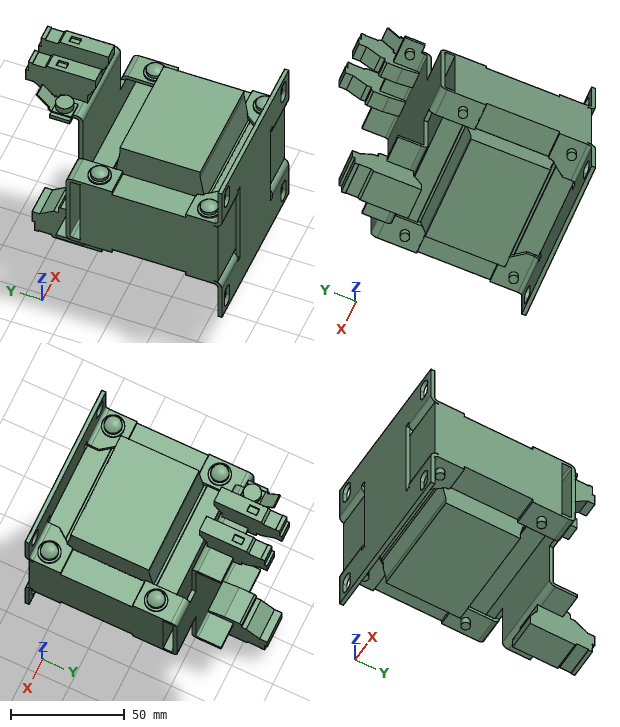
import cadquery as cq
import math


SHEET = 2.0
WIDTH = 78.0
PLATE_HEIGHT = 82.2
SLOT_WIDTH = 6.0
SLOT_HEIGHT = 11.3
SLOT_SPACING = 65.8
WINDOW_EDGE_X = 17.9
WINDOW_HALF_HEIGHT = 23.5
FRONT_BEND_RADIUS = 3.8

CORE_HEIGHT = 36.5
CORE_DEPTH = 65.2
RECESS_HALF_WIDTH = 26.0
RECESS_FRONT_Y = 12.0
RECESS_BACK_Y = 57.4
RECESS_DEPTH = 1.2

COIL_WIDTH = 51.2
COIL_FOOT_DEPTH = 42.5
COIL_END_DEPTH = 38.0
COIL_TOP_Z = 34.7
COIL_BOTTOM_Z = -30.5
COIL_RIM = 3.2

TAB_INNER_X = 20.1
TAB_LENGTH = 17.2
TAB_BEVEL_START_Y = 7.7
TAB_BEVEL_END_Y = 15.5
TAB_CORNER = 0.6

FRAME_BACK_Y = 73.9
ARM_LENGTH = 21.8
REAR_BEND_RADIUS = 3.0
FLANGE_TOP_Z = 45.0
FLANGE_END_Y = 86.2
FLANGE_HALF_WIDTH = 20.1
UPPER_FLANGE_LEFT_X = -23.9
CLAMP_TAB_LEFT_X = -27.8
CLAMP_TAB_FRONT_Y = 76.6

SCREW_X = 32.4
SCREW_YS = (8.6, 60.5)
SCREW_RADIUS = 2.1
SCREW_END_Z = -23.8
WASHER_RADIUS = 5.1
WASHER_THICKNESS = 0.9
HEAD_RADIUS = 4.0
HEAD_RIM = 1.6
HEAD_DOME = 1.6

TERMINAL_WIDTH = 7.4
UPPER_TERMINAL_XS = (-11.2, 3.9)
LOWER_TERMINAL_WIDTH = 15.1
TERMINAL_TOP_Z = 60.9
POCKET_WIDTH = 3.2
POCKET_LENGTH = 4.6
POCKET_Y = 86.8
POCKET_DEPTH = 1.2

CLAMP_X = -21.9
CLAMP_Y = 81.4
CLAMP_WIDTH = 8.0
CLAMP_THICKNESS = 0.7
CLAMP_TONGUE_WIDTH = 6.5
CLAMP_TONGUE_REACH = 7.3
CLAMP_SHOULDER_REACH = 1.5
CLAMP_HEAD_HEIGHT = 3.2
CLAMP_HEAD_Z = 46.3
CLAMP_SCREW_END_Z = 40.2

CORE_TOP_Z = CORE_HEIGHT / 2
TAB_TOP_Z = CORE_TOP_Z + SHEET
FRAME_FRONT_Y = FRAME_BACK_Y - SHEET


def block(x_min, x_max, y_min, y_max, z_min, z_max):
    """Box given by its limits."""
    size = (x_max - x_min, y_max - y_min, z_max - z_min)
    return cq.Workplane("XY").box(*size, centered=False).translate((x_min, y_min, z_min))


def side_profile(points, x_min, x_max):
    """Outline of (y, z) points extruded along X."""
    return cq.Workplane("YZ").polyline(points).close().extrude(x_max - x_min).translate((x_min, 0, 0))


def rod(x, y, z_min, z_max, radius):
    """Upright cylinder."""
    return cq.Workplane("XY").circle(radius).extrude(z_max - z_min).translate((x, y, z_min))


def left_and_right(body):
    return body.union(body.mirror("YZ"))


def top_and_bottom(body):
    return body.union(body.mirror("XY"))


def bent_strip(x_min, x_max, y, z, y_leg, z_leg, outer_radius):
    """Sheet with one rounded bend; (y, z) is the sharp outer corner, the legs are signed."""
    y_inner = y + math.copysign(SHEET, y_leg)
    z_inner = z + math.copysign(SHEET, z_leg)
    outline = [
        (y, z),
        (y + y_leg, z),
        (y + y_leg, z_inner),
        (y_inner, z_inner),
        (y_inner, z + z_leg),
        (y, z + z_leg),
    ]
    strip = side_profile(outline, x_min, x_max)
    for corner_y, corner_z, radius in ((y, z, outer_radius), (y_inner, z_inner, outer_radius - SHEET)):
        corner = cq.selectors.NearestToPointSelector(((x_min + x_max) / 2, corner_y, corner_z))
        strip = strip.edges("|X").edges(corner).fillet(radius)
    return strip


def front_plate():
    half_width = WIDTH / 2
    plate = block(-half_width, half_width, 0, SHEET, -PLATE_HEIGHT / 2, PLATE_HEIGHT / 2)
    slots = (
        cq.Workplane("XZ")
        .rect(SLOT_SPACING, SLOT_SPACING, forConstruction=True)
        .vertices()
        .slot2D(SLOT_HEIGHT, SLOT_WIDTH, 90)
        .extrude(-SHEET)
    )
    window = block(WINDOW_EDGE_X, half_width, 0, SHEET, -WINDOW_HALF_HEIGHT, WINDOW_HALF_HEIGHT)
    plate = plate.cut(slots).cut(left_and_right(window))

    bend_height = WINDOW_HALF_HEIGHT - CORE_TOP_Z
    tab = bent_strip(TAB_INNER_X, half_width, 0, CORE_TOP_Z, TAB_LENGTH, bend_height, FRONT_BEND_RADIUS)
    bevel = (
        cq.Workplane("XY")
        .polyline(
            [
                (TAB_INNER_X, TAB_BEVEL_START_Y),
                (RECESS_HALF_WIDTH, TAB_BEVEL_END_Y),
                (RECESS_HALF_WIDTH, TAB_LENGTH - TAB_CORNER),
                (RECESS_HALF_WIDTH + TAB_CORNER, TAB_LENGTH),
                (TAB_INNER_X, TAB_LENGTH),
            ]
        )
        .close()
        .extrude(PLATE_HEIGHT / 2)
    )
    return plate.union(top_and_bottom(left_and_right(tab.cut(bevel))))


def core():
    half_width = WIDTH / 2
    body = block(-half_width, half_width, SHEET, SHEET + CORE_DEPTH, -CORE_TOP_Z, CORE_TOP_Z)
    recess = block(
        -RECESS_HALF_WIDTH,
        RECESS_HALF_WIDTH,
        RECESS_FRONT_Y,
        RECESS_BACK_Y,
        CORE_TOP_Z - RECESS_DEPTH,
        CORE_TOP_Z,
    )
    return body.cut(top_and_bottom(recess))


def coil():
    """Coil that narrows above and below the core and ends in short straight rims."""
    middle_y = (RECESS_FRONT_Y + RECESS_BACK_Y) / 2
    recess_floor_z = CORE_TOP_Z - RECESS_DEPTH
    foot = COIL_FOOT_DEPTH / 2
    end = COIL_END_DEPTH / 2
    outline = [
        (-end, COIL_TOP_Z),
        (-end, COIL_TOP_Z - COIL_RIM),
        (-foot, recess_floor_z),
        (-foot, -recess_floor_z),
        (-end, COIL_BOTTOM_Z + COIL_RIM),
        (-end, COIL_BOTTOM_Z),
    ]
    outline += [(-y, z) for y, z in reversed(outline)]
    return side_profile(outline, -COIL_WIDTH / 2, COIL_WIDTH / 2).translate((0, middle_y, 0))


def rear_frame():
    arm = bent_strip(
        RECESS_HALF_WIDTH, WIDTH / 2, FRAME_BACK_Y, TAB_TOP_Z, -ARM_LENGTH, -TAB_TOP_Z, REAR_BEND_RADIUS
    )
    web_top_z = TAB_TOP_Z - REAR_BEND_RADIUS
    web = block(
        -RECESS_HALF_WIDTH, RECESS_HALF_WIDTH, FRAME_FRONT_Y, FRAME_BACK_Y, -web_top_z, web_top_z
    )
    frame = web.union(top_and_bottom(left_and_right(arm)))

    flange_length = FLANGE_END_Y - FRAME_FRONT_Y
    for left_x, side in ((UPPER_FLANGE_LEFT_X, 1), (-FLANGE_HALF_WIDTH, -1)):
        top_z = side * FLANGE_TOP_Z
        flange = bent_strip(
            left_x, FLANGE_HALF_WIDTH, FRAME_FRONT_Y, top_z, flange_length, -top_z, REAR_BEND_RADIUS
        )
        frame = frame.union(flange)

    clamp_tab = block(
        CLAMP_TAB_LEFT_X,
        UPPER_FLANGE_LEFT_X,
        CLAMP_TAB_FRONT_Y,
        FLANGE_END_Y,
        FLANGE_TOP_Z - SHEET,
        FLANGE_TOP_Z,
    )
    return frame.union(clamp_tab)


def core_screw(x, y):
    """Domed screw on a washer, passing down through the core."""
    washer_top_z = TAB_TOP_Z + WASHER_THICKNESS
    rim_z = washer_top_z + HEAD_RIM
    sphere_radius = (HEAD_RADIUS**2 + HEAD_DOME**2) / (2 * HEAD_DOME)
    dome = cq.Workplane("XY").sphere(sphere_radius).translate((x, y, rim_z + HEAD_DOME - sphere_radius))
    head = rod(x, y, washer_top_z, rim_z + HEAD_DOME, HEAD_RADIUS).intersect(dome)
    washer = rod(x, y, TAB_TOP_Z, washer_top_z, WASHER_RADIUS)
    return rod(x, y, SCREW_END_Z, washer_top_z, SCREW_RADIUS).union(washer).union(head)


def terminal(x, width):
    """Terminal block seated on the upper flange."""
    outline = [
        (69.7, TERMINAL_TOP_Z),
        (92.6, TERMINAL_TOP_Z),
        (93.7, 59.5),
        (99.5, 59.5),
        (99.5, 60.0),
        (101.5, 60.0),
        (101.5, 54.5),
        (102.7, 54.5),
        (102.7, 48.0),
        (99.0, 48.0),
        (92.5, 43.4),
        (90.3, 43.4),
        (90.3, 40.7),
        (89.3, 39.8),
        (81.8, 39.8),
        (73.5, 41.4),
        (73.5, 49.0),
        (69.7, 55.7),
    ]
    return side_profile(outline, x - width / 2, x + width / 2)


def terminal_pocket(x):
    return (
        cq.Workplane("XY")
        .rect(POCKET_WIDTH, POCKET_LENGTH)
        .extrude(POCKET_DEPTH)
        .translate((x, POCKET_Y, TERMINAL_TOP_Z - POCKET_DEPTH))
    )


def clamp_tongue(width, reach):
    """Sheet that rises at 45 degrees from the back edge of the clamp plate."""
    slant = CLAMP_THICKNESS * math.sqrt(2)
    outline = [
        (FLANGE_END_Y - slant, FLANGE_TOP_Z),
        (FLANGE_END_Y, FLANGE_TOP_Z),
        (FLANGE_END_Y + reach, FLANGE_TOP_Z + reach),
        (FLANGE_END_Y + reach - slant / 2, FLANGE_TOP_Z + reach + slant / 2),
    ]
    return side_profile(outline, CLAMP_X - width / 2, CLAMP_X + width / 2)


def earth_clamp():
    plate = block(
        CLAMP_X - CLAMP_WIDTH / 2,
        CLAMP_X + CLAMP_WIDTH / 2,
        CLAMP_TAB_FRONT_Y,
        FLANGE_END_Y,
        FLANGE_TOP_Z,
        FLANGE_TOP_Z + CLAMP_THICKNESS,
    )
    shank = rod(CLAMP_X, CLAMP_Y, CLAMP_SCREW_END_Z, CLAMP_HEAD_Z, SCREW_RADIUS)
    head = rod(CLAMP_X, CLAMP_Y, CLAMP_HEAD_Z, CLAMP_HEAD_Z + CLAMP_HEAD_HEIGHT, HEAD_RADIUS)
    shoulder = clamp_tongue(CLAMP_WIDTH, CLAMP_SHOULDER_REACH)
    tongue = clamp_tongue(CLAMP_TONGUE_WIDTH, CLAMP_TONGUE_REACH)
    return plate.union(shank).union(head).union(shoulder).union(tongue)


result = front_plate().union(core()).union(coil()).union(rear_frame())
for screw_y in SCREW_YS:
    result = result.union(left_and_right(core_screw(SCREW_X, screw_y)))
for terminal_x in UPPER_TERMINAL_XS:
    result = result.union(terminal(terminal_x, TERMINAL_WIDTH).cut(terminal_pocket(terminal_x)))
result = result.union(terminal(0, LOWER_TERMINAL_WIDTH).mirror("XY"))
result = result.union(earth_clamp())